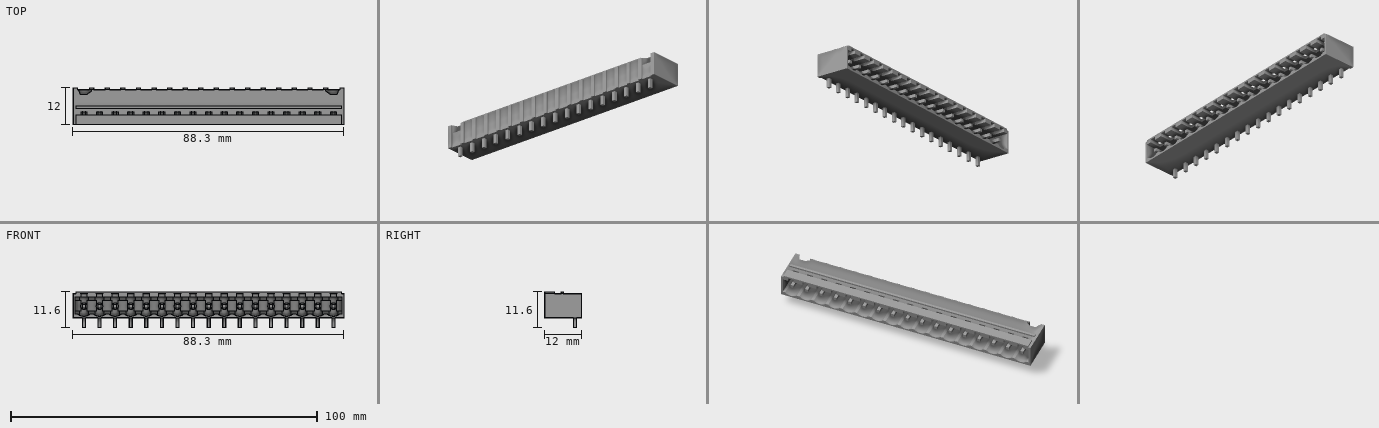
import cadquery as cq


LENGTH = 88.26
DEPTH = 12.0
OVERALL_HEIGHT = 11.63
BODY_HEIGHT = 7.9
RAISED_HEIGHT = 0.53
RAISED_INSET = 0.83
LIP_DEPTH = 3.2
RAIL_FRONT = 5.3
RAIL_DEPTH = 0.8

BACK_RELIEF = 0.52
EAR_WIDTH = 1.4
RIB_WIDTH = 1.45
RIB_TOP_DROP = 0.4
NOTCH_HEIGHT = 2.8
NOTCH_DEPTH = 2.12
NOTCH_STEP = 0.98
NOTCH_FLAT_START = 2.35
NOTCH_FLAT_END = 4.47
NOTCH_REACH = 6.0

PIN_COUNT = 17
PITCH = 5.08
PIN_SIZE = 1.05
PIN_HEIGHT = 3.8
PIN_TIP_DEPTH = 1.0
LEG_FROM_BACK = 2.14

END_WALL = 0.62
CAVITY_BOTTOM = 1.3
CAVITY_TOP = 6.75
BAR_BOTTOM = 2.2
BAR_TOP = 5.6
BAR_FRONT = 7.6
COLUMN_RADIUS = 1.5
COLLAR_DIAMETER = 2.15
COLLAR_PROUD = 0.8
COLUMN_SET_BACK = 1.1
TROUGH_WIDTH = 4.1
TROUGH_DROP = 0.8

SLOT_WIDTH = 2.05
SLOT_DEPTH = 4.22

front_y = -DEPTH / 2
back_y = DEPTH / 2
wall_y = back_y - BACK_RELIEF
leg_y = back_y - LEG_FROM_BACK
bar_y = front_y + BAR_FRONT
cavity_back_y = bar_y + COLUMN_SET_BACK
raised_top = BODY_HEIGHT + RAISED_HEIGHT
leg_bottom = raised_top - OVERALL_HEIGHT
notch_floor = BODY_HEIGHT - NOTCH_HEIGHT
raised_length = LENGTH - 2 * RAISED_INSET
cavity_length = LENGTH - 2 * END_WALL


def row(count, pitch):
    """X positions of a row of features centred on the housing."""
    return [(i - (count - 1) / 2) * pitch for i in range(count)]


def boxes(xs, width, y_range, z_range):
    """Equal boxes centred on the given X positions, between Y and Z limits."""
    y_low, y_high = y_range
    z_low, z_high = z_range
    centres = [(x, (y_low + y_high) / 2) for x in xs]
    return (
        cq.Workplane("XY", origin=(0, 0, z_low))
        .pushPoints(centres)
        .rect(width, y_high - y_low)
        .extrude(z_high - z_low)
    )


def box(width, y_range, z_range):
    """One box centred on X = 0."""
    return boxes([0], width, y_range, z_range)


def rods(xs, radius, z, y_range):
    """Equal round rods along Y, with their axes at height z."""
    y_low, y_high = y_range
    return (
        cq.Workplane("XZ", origin=(0, y_low, 0))
        .pushPoints([(x, z) for x in xs])
        .circle(radius)
        .extrude(y_low - y_high)
    )


pin_xs = row(PIN_COUNT, PITCH)
rib_xs = row(PIN_COUNT - 1, PITCH)


def housing_block():
    """Outer block with the lip and the rail on top."""
    block = box(LENGTH, (front_y, back_y), (0, BODY_HEIGHT))
    lip = box(raised_length, (front_y, front_y + LIP_DEPTH), (BODY_HEIGHT, raised_top))
    rail_y = front_y + RAIL_FRONT
    rail = box(raised_length, (rail_y, rail_y + RAIL_DEPTH), (BODY_HEIGHT, raised_top))
    return block.union(lip).union(rail)


def back_relief():
    """Material removed behind the back wall, between the end ears."""
    return box(LENGTH - 2 * EAR_WIDTH, (wall_y, back_y), (0, BODY_HEIGHT))


def back_ribs():
    """Upright ribs on the back wall, midway between the pins."""
    return boxes(rib_xs, RIB_WIDTH, (wall_y, back_y), (0, BODY_HEIGHT - RIB_TOP_DROP))


def end_notch():
    """Notch beside the ear at the -X end."""
    outline = [
        (EAR_WIDTH, back_y),
        (NOTCH_FLAT_START, back_y - NOTCH_DEPTH),
        (NOTCH_FLAT_END, back_y - NOTCH_DEPTH),
        (NOTCH_REACH, back_y - NOTCH_STEP),
        (NOTCH_REACH, back_y),
    ]
    return (
        cq.Workplane("XY", origin=(-LENGTH / 2, 0, notch_floor))
        .polyline(outline)
        .close()
        .extrude(NOTCH_HEIGHT)
    )


def troughs(y_range):
    """Circular-arc channels along Y, sunk into the cavity floor under the pins."""
    y_low, y_high = y_range
    profiles = cq.Workplane("XZ", origin=(0, y_low, CAVITY_BOTTOM))
    half = TROUGH_WIDTH / 2
    for x in pin_xs:
        profiles = (
            profiles.moveTo(x - half, 0)
            .threePointArc((x, -TROUGH_DROP), (x + half, 0))
            .close()
        )
    return profiles.extrude(y_low - y_high)


def cavity():
    """Open front cavity with the rounded troughs, less the bar, columns and collars."""
    y_range = (front_y, cavity_back_y)
    hollow = box(cavity_length, y_range, (CAVITY_BOTTOM, CAVITY_TOP))
    bar = box(cavity_length, (bar_y, cavity_back_y), (BAR_BOTTOM, BAR_TOP))
    columns = (
        cq.Workplane("XY", origin=(0, cavity_back_y, 0))
        .pushPoints([(x, 0) for x in pin_xs])
        .circle(COLUMN_RADIUS)
        .extrude(CAVITY_TOP)
    )
    collars = rods(pin_xs, COLLAR_DIAMETER / 2, PIN_HEIGHT, (bar_y - COLLAR_PROUD, cavity_back_y))
    return hollow.union(troughs(y_range)).cut(bar).cut(columns).cut(collars)


def coding_slots():
    """Slots from the open front, cut through the top wall up to the underside of the lip."""
    return boxes(pin_xs, SLOT_WIDTH, (front_y, front_y + SLOT_DEPTH), (CAVITY_TOP, BODY_HEIGHT))


def pins():
    """Square pins: a contact along Y turned down into a leg."""
    half = PIN_SIZE / 2
    contacts = boxes(
        pin_xs,
        PIN_SIZE,
        (front_y + PIN_TIP_DEPTH, leg_y + half),
        (PIN_HEIGHT - half, PIN_HEIGHT + half),
    )
    legs = boxes(pin_xs, PIN_SIZE, (leg_y - half, leg_y + half), (leg_bottom, PIN_HEIGHT))
    return contacts.union(legs)


notch = end_notch()
body = housing_block().cut(back_relief()).cut(notch).cut(notch.mirror("YZ"))
body = body.union(back_ribs())
body = body.cut(cavity()).cut(coding_slots())
result = body.union(pins())